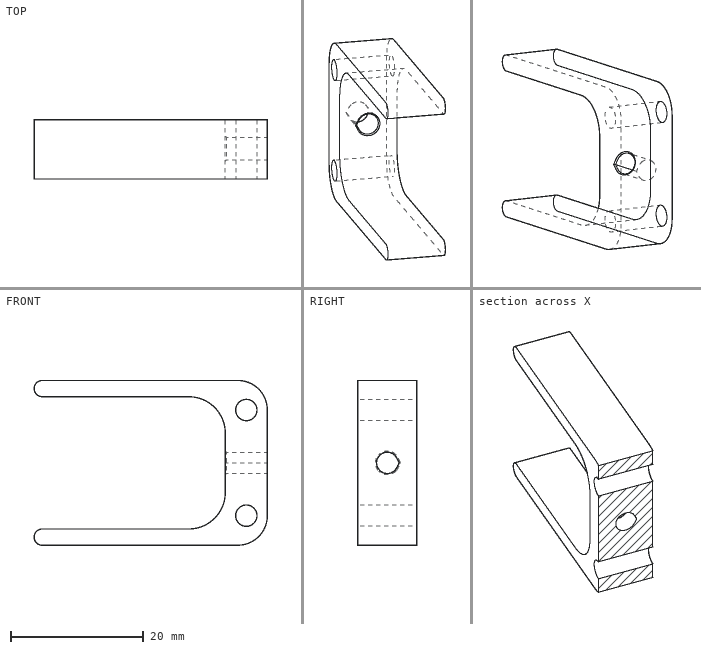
import cadquery as cq
import math

length = 35.35
width = 9.0
height = 25.0

arm_thickness = 2.5
web_thickness = 6.4
outer_corner_radius = 4.5
inner_corner_radius = 5.5

cross_hole_diameter = 3.2
cross_hole_spacing = 16.0

teardrop_radius = 1.6
teardrop_point_distance = 1.8
teardrop_chamfer = 0.2

web_outer_x = length / 2
web_inner_x = web_outer_x - web_thickness
tip_x = -length / 2
tip_radius = arm_thickness / 2
slot_height = height - 2 * arm_thickness


def block(x_start, x_end, block_height):
    """Box spanning x_start to x_end over the full width, centred in Y and Z."""
    block_length = x_end - x_start
    return cq.Workplane("XY").box(block_length, width, block_height).translate(
        ((x_start + x_end) / 2, 0, 0)
    )


def make_body():
    """U-shaped body with rounded web corners and full-round arm tips."""
    outer = block(tip_x, web_outer_x, height)
    outer = outer.edges("|Y and >X").fillet(outer_corner_radius)

    slot_start = tip_x - inner_corner_radius
    slot = block(slot_start, web_inner_x, slot_height)
    slot = slot.edges("|Y and >X").fillet(inner_corner_radius)
    body = outer.cut(slot)

    arm_center_z = (height - arm_thickness) / 2
    for side in (-1, 1):
        square_tip = block(tip_x, tip_x + tip_radius, arm_thickness)
        round_tip = (
            cq.Workplane("XZ")
            .center(tip_x + tip_radius, 0)
            .circle(tip_radius)
            .extrude(width / 2, both=True)
        )
        tip_waste = square_tip.cut(round_tip)
        body = body.cut(tip_waste.translate((0, 0, side * arm_center_z)))
    return body


def make_cross_holes():
    """Pair of round holes on the middle line of the web."""
    return (
        cq.Workplane("XZ")
        .center((web_inner_x + web_outer_x) / 2, 0)
        .pushPoints([(0, -cross_hole_spacing / 2), (0, cross_hole_spacing / 2)])
        .circle(cross_hole_diameter / 2)
        .extrude(width / 2, both=True)
    )


def cut_teardrop_hole(body):
    """Teardrop hole through the web, chamfered on the inner face of the web."""
    tangent_angle = math.acos(teardrop_radius / teardrop_point_distance)
    tangent_y = teardrop_radius * math.cos(tangent_angle)
    tangent_z = teardrop_radius * math.sin(tangent_angle)
    hole = (
        cq.Workplane("YZ", origin=(web_inner_x, 0, 0))
        .moveTo(teardrop_point_distance, 0)
        .lineTo(tangent_y, tangent_z)
        .threePointArc((-teardrop_radius, 0), (tangent_y, -tangent_z))
        .close()
        .extrude(web_thickness)
    )
    rim_region = cq.selectors.BoxSelector(
        (web_inner_x - teardrop_chamfer, -teardrop_point_distance, -teardrop_point_distance),
        (web_inner_x + teardrop_chamfer, teardrop_point_distance, teardrop_point_distance),
    )
    return body.cut(hole).edges(rim_region).chamfer(teardrop_chamfer)


result = cut_teardrop_hole(make_body().cut(make_cross_holes()))